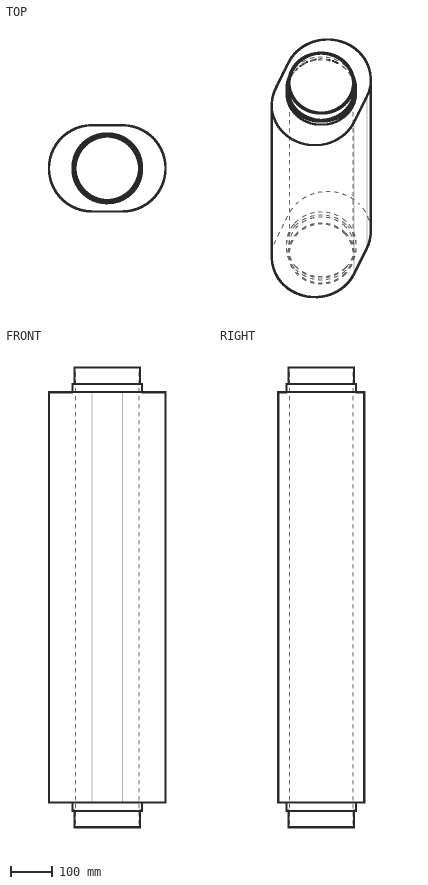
import cadquery as cq

total_length = 1120.0
body_width = 285.0
body_depth = 210.0
pipe_diameter = 160.0
pipe_wall = 2.8
collar_diameter = 170.0
pipe_end_length = 40.0
collar_length = 20.0

bore_diameter = pipe_diameter - 2 * pipe_wall
collars_span = total_length - 2 * pipe_end_length
body_length = collars_span - 2 * collar_length


def cylinder(diameter, length):
    """Cylinder along Z, centred on the origin."""
    return cq.Workplane("XY").circle(diameter / 2).extrude(length / 2, both=True)


casing = cq.Workplane("XY").slot2D(body_width, body_depth).extrude(body_length / 2, both=True)

collars = cylinder(collar_diameter, collars_span)
pipe = cylinder(pipe_diameter, total_length)
bore = cylinder(bore_diameter, total_length)

result = casing.union(collars).union(pipe).cut(bore)